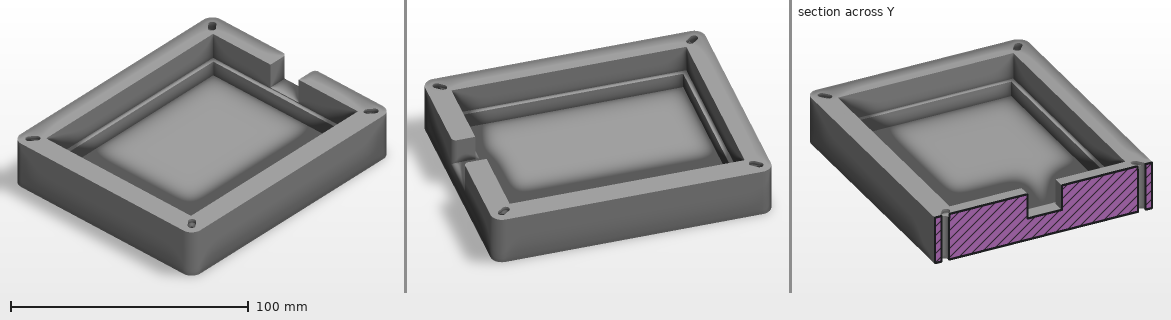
import cadquery as cq
import math

length_x = 102.96
width_y = 123.41
height = 22.3
corner_radius = 5.0

wall = 10.0
ledge_width = 2.0
ledge_depth = 12.3
cavity_depth = 19.3

notch_width = 16.1
notch_center_x = -0.5
notch_depth = 11.8
notch_mouth_radius = 2.0

hole_diameter = 3.4
hole_inset = 5.0
slot_travel = 3.0
slot_depth = 1.8


def make_block():
    block = cq.Workplane("XY").box(length_x, width_y, height, centered=(True, True, False))
    return block.edges("|Z").fillet(corner_radius)


def make_pocket(inset, depth):
    """Rectangular pocket set in from the outer walls, cut down from the top face."""
    return (
        cq.Workplane("XY")
        .workplane(offset=height - depth)
        .rect(length_x - 2 * inset, width_y - 2 * inset)
        .extrude(depth)
    )


def make_notch():
    """Notch through the +Y wall whose sides and floor flare out in arcs at the outer face.

    It is the common part of a plan shape (flared sides) and a side shape (flared floor).
    """
    radius = notch_mouth_radius
    arc_offset = radius * (1 - math.cos(math.radians(45)))
    outer_y = width_y / 2
    inner_y = outer_y - wall
    arc_start_y = outer_y - radius
    arc_middle_y = outer_y - arc_offset
    left_x = notch_center_x - notch_width / 2
    right_x = notch_center_x + notch_width / 2
    floor_z = height - notch_depth

    plan = (
        cq.Workplane("XY")
        .moveTo(left_x, inner_y)
        .lineTo(right_x, inner_y)
        .lineTo(right_x, arc_start_y)
        .threePointArc((right_x + arc_offset, arc_middle_y), (right_x + radius, outer_y))
        .lineTo(left_x - radius, outer_y)
        .threePointArc((left_x - arc_offset, arc_middle_y), (left_x, arc_start_y))
        .close()
        .extrude(height)
    )
    side = (
        cq.Workplane("YZ")
        .moveTo(inner_y, floor_z)
        .lineTo(arc_start_y, floor_z)
        .threePointArc((arc_middle_y, floor_z - arc_offset), (outer_y, floor_z - radius))
        .lineTo(outer_y, height)
        .lineTo(inner_y, height)
        .close()
        .extrude(length_x / 2, both=True)
    )
    return plan.intersect(side)


def cut_screw_hole(body, side_x, side_y):
    """Cut the through hole and its slot at the corner given by the signs side_x and side_y."""
    hole_x = side_x * (length_x / 2 - hole_inset)
    hole_y = side_y * (width_y / 2 - hole_inset)
    hole = cq.Workplane("XY").center(hole_x, hole_y).circle(hole_diameter / 2).extrude(height)
    slot_angle = math.atan2(hole_y, hole_x)
    slot_center_x = hole_x - slot_travel / 2 * math.cos(slot_angle)
    slot_center_y = hole_y - slot_travel / 2 * math.sin(slot_angle)
    slot = (
        cq.Workplane("XY")
        .workplane(offset=height - slot_depth)
        .center(slot_center_x, slot_center_y)
        .slot2D(slot_travel + hole_diameter, hole_diameter, math.degrees(slot_angle))
        .extrude(slot_depth)
    )
    return body.cut(hole).cut(slot)


result = make_block()
result = result.cut(make_pocket(wall, ledge_depth))
result = result.cut(make_pocket(wall + ledge_width, cavity_depth))
result = result.cut(make_notch())
for side_x in (-1, 1):
    for side_y in (-1, 1):
        result = cut_screw_hole(result, side_x, side_y)